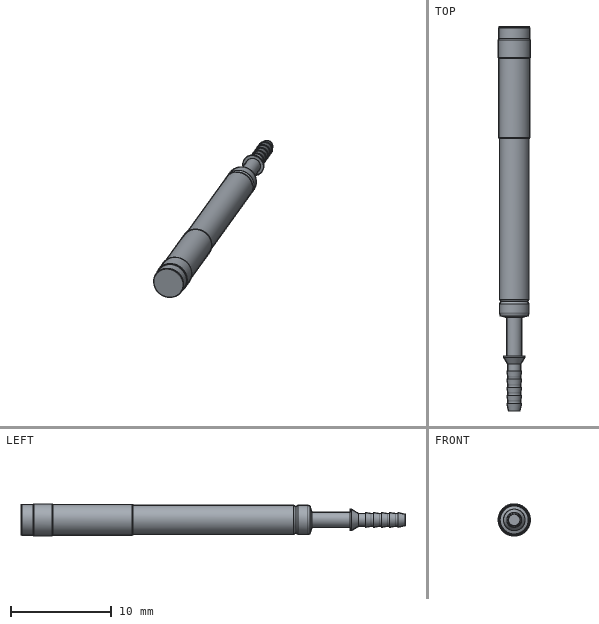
import cadquery as cq
length = 38.2
tip_y = -length / 2

band_radius = 1.6
sleeve_radius = 1.547
sleeve_front = 27.1
sleeve_chamfer_length = 0.1
sleeve_chamfer_depth = 0.05
band_front = 35.15
band_rear = 36.9
band_slope_length = 0.1

barrel_radius = 1.47
groove_center = 10.9
groove_half_width = 0.23
groove_depth = 0.15
nose_taper_start = 9.75
nose_taper_end = 9.47
nose_taper_drop = 0.08
nose_front = 9.3

plunger_radius = 0.75
collar_radius = 1.07
collar_rear = 5.5
collar_rim_width = 0.15
collar_cone_length = 0.7

core_radius = 0.65
barb_radius = 0.745
barb_count = 5
barb_pitch = 0.8
barb_length = 0.57
first_barb_rear = 3.97
tip_radius = 0.57


def revolve_profile(points):
    """Spin (radius, distance from tip) points about the pin axis into a solid."""
    front = points[0][1]
    rear = points[-1][1]
    outline = [(0, front)] + points + [(0, rear)]
    profile = cq.Workplane("XY").polyline(outline).close()
    return profile.revolve(360, (0, 0, 0), (0, 1, 0))


def make_sleeve():
    end_radius = sleeve_radius - sleeve_chamfer_depth
    return revolve_profile([
        (end_radius, sleeve_front),
        (sleeve_radius, sleeve_front + sleeve_chamfer_length),
        (sleeve_radius, band_front - band_slope_length),
        (band_radius, band_front),
        (band_radius, band_rear),
        (sleeve_radius, band_rear + band_slope_length),
        (sleeve_radius, length - sleeve_chamfer_length),
        (end_radius, length),
    ])


def make_barrel():
    return revolve_profile([
        (plunger_radius, nose_front),
        (barrel_radius - nose_taper_drop, nose_taper_end),
        (barrel_radius, nose_taper_start),
        (barrel_radius, groove_center - groove_half_width),
        (barrel_radius - groove_depth, groove_center),
        (barrel_radius, groove_center + groove_half_width),
        (barrel_radius, sleeve_front + sleeve_chamfer_length),
    ])


def make_plunger():
    collar_rim_front = collar_rear - collar_rim_width
    return revolve_profile([
        (core_radius, first_barb_rear),
        (core_radius, collar_rim_front - collar_cone_length),
        (collar_radius, collar_rim_front),
        (collar_radius, collar_rear),
        (plunger_radius, collar_rear),
        (plunger_radius, nose_taper_end),
    ])


def make_barbed_tip():
    points = [(tip_radius, 0)]
    for index in reversed(range(barb_count)):
        barb_rear = first_barb_rear - index * barb_pitch
        is_last = index == barb_count - 1
        if not is_last:
            points.append((core_radius, barb_rear - barb_length))
        points.append((barb_radius, barb_rear))
        points.append((core_radius, barb_rear))
    return revolve_profile(points)


pin = make_sleeve().union(make_barrel()).union(make_plunger()).union(make_barbed_tip())
result = pin.translate((0, tip_y, 0))